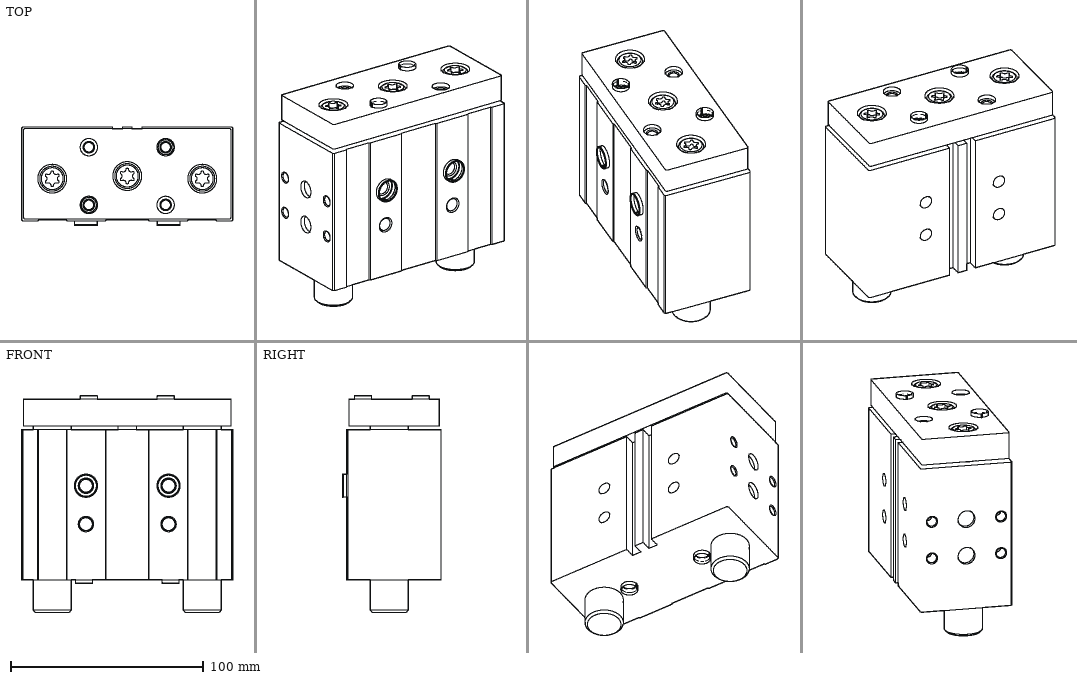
import cadquery as cq
import math


housing_width = 110.0
housing_depth = 49.1
housing_height = 78.2
pad_step = 0.6
pad_slope = 0.5
pad_inner_edge = 10.9
pad_outer_edge = 31.7
end_pad_edge = 46.1
front_corner_slope = 0.8
back_fillet = 1.1
slot_width = 5.1
slot_offset = 5.1
slot_depth = 5.6

rod_diameter = 20.0
rod_spacing = 78.1
rod_y = -27.0
rod_reach = 17.0
rod_chamfer = 1.2
piston_rod_diameter = 9.8
piston_rod_reach = 33.8
axis_y = -25.6
plate_gap = 1.8
plate_width = 108.0
plate_depth = 47.0
plate_thickness = 14.0
plate_back_y = -0.9
plate_edge_fillet = 0.9

head_bore_diameter = 15.0
head_bore_depth = 6.8
head_diameter = 13.0
head_recess = 0.6
head_chamfer = 0.8
star_tip_radius = 4.1
star_shoulder_radius = 3.5
star_valley_radius = 2.7
star_tip_angle = 22.0
star_depth = 2.7
star_lobes = 6

plate_hole_spacing_x = 39.9
plate_hole_spacing_y = 30.0
small_thread_diameter = 5.0
small_thread_mouth = 6.0

front_hole_spacing = 43.0
upper_row_z = 49.0
lower_row_z = 29.0
large_thread_diameter = 6.7
large_thread_mouth = 8.0

side_pattern_y = -24.6
side_hole_spacing = 37.1
side_hole_depth = 10.2
drill_point_angle = 118.0

small_sleeve_diameter = 9.0
small_sleeve_bore = 7.8
large_sleeve_diameter = 12.0
large_sleeve_bore = 11.0
sleeve_crown = 0.5
sleeve_slit = 0.6
sleeve_seat_depth = 2.3
plate_sleeve_height = 1.8
front_sleeve_height = 2.3
bottom_sleeve_height = 1.8
bottom_sleeve_spacing = 45.0

plate_bottom_z = housing_height + plate_gap
plate_top_z = plate_bottom_z + plate_thickness
rod_points = [(side * rod_spacing / 2, rod_y) for side in (-1, 1)]
piston_point = (0, axis_y)
screw_points = rod_points + [piston_point]
plate_hole_points = [
    (sx * plate_hole_spacing_x / 2, axis_y + sy * plate_hole_spacing_y / 2)
    for sx in (-1, 1)
    for sy in (-1, 1)
]
plate_sleeve_points = [plate_hole_points[0], plate_hole_points[3]]
front_hole_xs = [side * front_hole_spacing / 2 for side in (-1, 1)]
bottom_sleeve_points = [(side * bottom_sleeve_spacing / 2, axis_y) for side in (-1, 1)]
row_zs = (upper_row_z, lower_row_z)


def cylinder(start, direction, diameter, length):
    return cq.Workplane(cq.Solid.makeCylinder(diameter / 2, length, cq.Vector(*start), cq.Vector(*direction)))


def cone(start, direction, start_diameter, end_diameter, length):
    solid = cq.Solid.makeCone(
        start_diameter / 2, end_diameter / 2, length, cq.Vector(*start), cq.Vector(*direction)
    )
    return cq.Workplane(solid)


def mouth_chamfer(start, direction, mouth, diameter):
    """45-degree countersink from the mouth diameter down to the hole diameter."""
    return cone(start, direction, mouth, diameter, (mouth - diameter) / 2)


def centring_sleeve(diameter, bore, height):
    """Slit ring with a rounded rim, seated at the origin, along +Z, with the slit towards -X."""
    length = sleeve_seat_depth + height
    outer = -diameter / 2
    inner = -bore / 2
    shoulder = length - sleeve_crown
    section = (
        cq.Workplane("XZ")
        .moveTo(inner, 0)
        .lineTo(outer, 0)
        .lineTo(outer, shoulder)
        .threePointArc(((outer + inner) / 2, length), (inner, shoulder))
        .close()
    )
    ring = section.revolve(360, (0, 0, 0), (0, 1, 0))
    slit = cq.Workplane("XY").center(-diameter / 2, 0).rect(diameter, sleeve_slit).extrude(length)
    return ring.cut(slit)


def make_pad(base_start, base_end, end_slope):
    """Raised front pad between two X positions, with its sides sloping in towards the top."""
    panel_y = pad_step - housing_depth
    outline = [
        (base_start, panel_y),
        (base_end, panel_y),
        (base_end - end_slope, -housing_depth),
        (base_start + pad_slope, -housing_depth),
    ]
    return cq.Workplane("XY").polyline(outline).close().extrude(housing_height)


def make_block():
    """Block with sloped pads along the front and two sensor slots along the back."""
    panel_depth = housing_depth - pad_step
    block = (
        cq.Workplane("XY")
        .center(0, -panel_depth / 2)
        .rect(housing_width, panel_depth)
        .extrude(housing_height)
        .edges("|Z and >Y")
        .fillet(back_fillet)
    )
    inner_pad = make_pad(pad_inner_edge, pad_outer_edge, pad_slope)
    end_pad = make_pad(end_pad_edge, housing_width / 2, front_corner_slope)
    for pad in (inner_pad, end_pad):
        block = block.union(pad).union(pad.mirror("YZ"))
    for side in (-1, 1):
        slot = (
            cq.Workplane("XY")
            .center(side * slot_offset, -slot_depth / 2)
            .rect(slot_width, slot_depth)
            .extrude(housing_height)
        )
        block = block.cut(slot)
    return block


def cut_rod_bores(body):
    for x, y in rod_points:
        body = body.cut(cylinder((x, y, 0), (0, 0, 1), rod_diameter, housing_height))
    x, y = piston_point
    return body.cut(cylinder((x, y, housing_height), (0, 0, -1), piston_rod_diameter, piston_rod_reach))


def cut_front_holes(body):
    into = (0, 1, 0)
    for x in front_hole_xs:
        for z in row_zs:
            body = body.cut(cylinder((x, -housing_depth, z), into, large_thread_diameter, housing_depth))
        body = body.cut(
            cylinder((x, -housing_depth, upper_row_z), into, large_sleeve_diameter, sleeve_seat_depth)
        )
        for z, mouth_y in ((upper_row_z, sleeve_seat_depth - housing_depth), (lower_row_z, -housing_depth)):
            body = body.cut(mouth_chamfer((x, mouth_y, z), into, large_thread_mouth, large_thread_diameter))
    return body


def cut_side_holes(body):
    start_x = -housing_width / 2
    into = (1, 0, 0)
    point_length = small_thread_diameter / 2 / math.tan(math.radians(drill_point_angle / 2))
    for z in row_zs:
        for side in (-1, 1):
            y = side_pattern_y + side * side_hole_spacing / 2
            start = (start_x, y, z)
            body = body.cut(cylinder(start, into, small_thread_diameter, side_hole_depth))
            body = body.cut(mouth_chamfer(start, into, small_thread_mouth, small_thread_diameter))
            point_start = (start_x + side_hole_depth, y, z)
            body = body.cut(cone(point_start, into, small_thread_diameter, 0, point_length))
        seat_start = (start_x, side_pattern_y, z)
        body = body.cut(cylinder(seat_start, into, small_sleeve_diameter, sleeve_seat_depth))
    return body


def cut_bottom_seats(body):
    for x, y in bottom_sleeve_points:
        body = body.cut(cylinder((x, y, 0), (0, 0, 1), small_sleeve_diameter, sleeve_seat_depth))
    return body


def make_housing():
    body = cut_rod_bores(make_block())
    body = cut_front_holes(body)
    body = cut_side_holes(body)
    return cut_bottom_seats(body)


def star_socket(x, y, top_z):
    """Six-lobed socket: rounded tips joined by hollow flanks."""
    tip_half_angle = math.radians(star_tip_angle / 2)
    pitch = 2 * math.pi / star_lobes

    def polar(radius, angle):
        return (radius * math.cos(angle), radius * math.sin(angle))

    first_tip = math.pi / 2
    outline = cq.Workplane("XY").moveTo(*polar(star_shoulder_radius, first_tip - tip_half_angle))
    for lobe in range(star_lobes):
        tip = first_tip + lobe * pitch
        next_shoulder = tip + pitch - tip_half_angle
        outline = outline.threePointArc(
            polar(star_tip_radius, tip), polar(star_shoulder_radius, tip + tip_half_angle)
        )
        outline = outline.threePointArc(
            polar(star_valley_radius, tip + pitch / 2), polar(star_shoulder_radius, next_shoulder)
        )
    return outline.close().extrude(-star_depth).translate((x, y, top_z))


def make_plate():
    plate = (
        cq.Workplane("XY")
        .rect(plate_width, plate_depth)
        .extrude(plate_thickness)
        .edges("|Z")
        .fillet(plate_edge_fillet)
        .translate((0, plate_back_y - plate_depth / 2, plate_bottom_z))
    )
    down = (0, 0, -1)
    seat_z = plate_top_z - sleeve_seat_depth
    for x, y in plate_hole_points:
        plate = plate.cut(cylinder((x, y, plate_top_z), down, small_thread_diameter, plate_thickness))
        plate = plate.cut(cylinder((x, y, plate_top_z), down, small_sleeve_diameter, sleeve_seat_depth))
        plate = plate.cut(mouth_chamfer((x, y, seat_z), down, small_thread_mouth, small_thread_diameter))
    for x, y in screw_points:
        plate = plate.cut(cylinder((x, y, plate_top_z), down, head_bore_diameter, head_bore_depth))
    return plate


def make_slide():
    slide = make_plate()
    up = (0, 0, 1)
    x, y = piston_point
    piston_rod_start = (x, y, housing_height - piston_rod_reach)
    slide = slide.union(cylinder(piston_rod_start, up, piston_rod_diameter, piston_rod_reach + plate_gap))

    head_top_z = plate_top_z - head_recess
    head_height = head_bore_depth - head_recess
    for x, y in screw_points:
        head = cylinder((x, y, head_top_z - head_height), up, head_diameter, head_height)
        head = head.faces(">Z").chamfer(head_chamfer)
        slide = slide.union(head.cut(star_socket(x, y, head_top_z)))
    return slide


def make_guide_rods():
    """Rods through the housing, up to the underside of the plate."""
    length = rod_reach + plate_bottom_z
    rods = []
    for x, y in rod_points:
        rod = cylinder((x, y, -rod_reach), (0, 0, 1), rod_diameter, length)
        rods.append(rod.faces("<Z").chamfer(rod_chamfer))
    return rods


def make_plate_sleeves():
    sleeve = centring_sleeve(small_sleeve_diameter, small_sleeve_bore, plate_sleeve_height)
    seat_z = plate_top_z - sleeve_seat_depth
    return [sleeve.translate((x, y, seat_z)) for x, y in plate_sleeve_points]


def make_bottom_sleeves():
    sleeve = centring_sleeve(small_sleeve_diameter, small_sleeve_bore, bottom_sleeve_height)
    sleeve = sleeve.rotate((0, 0, 0), (1, 0, 0), 180)
    return [sleeve.translate((x, y, sleeve_seat_depth)) for x, y in bottom_sleeve_points]


def make_front_sleeves():
    """Sleeves pointing to -Y with the slit at the bottom."""
    sleeve = centring_sleeve(large_sleeve_diameter, large_sleeve_bore, front_sleeve_height)
    sleeve = sleeve.rotate((0, 0, 0), (0, 0, 1), 90).rotate((0, 0, 0), (1, 0, 0), 90)
    seat_y = sleeve_seat_depth - housing_depth
    return [sleeve.translate((x, seat_y, upper_row_z)) for x in front_hole_xs]


housing = make_housing()
slide = make_slide()
guide_rods = make_guide_rods()
sleeves = make_plate_sleeves() + make_bottom_sleeves() + make_front_sleeves()
repeated_solids = [part.val() for part in guide_rods + sleeves]
result = cq.Compound.makeCompound([housing.val(), slide.val(), *repeated_solids])